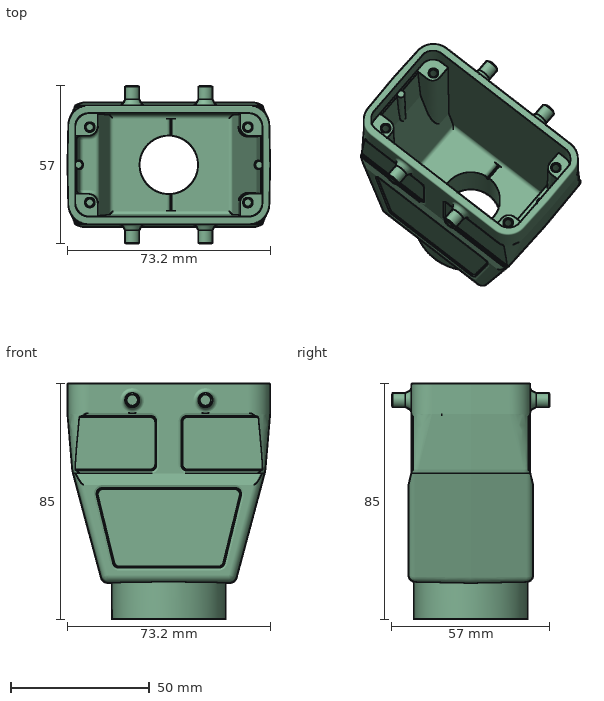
import math

import cadquery as cq

TOTAL_HEIGHT = 85.0
BAND_BOTTOM_Z = 74.0
END_BLEND_HEIGHT = 1.4
SHOULDER_TOP_Z = 52.6
SHOULDER_BOTTOM_Z = 48.4
BODY_BOTTOM_Z = 13.0
FLOOR_Z = 19.0
LEDGE_Z = 53.0
POST_TOP_Z = 75.5
PIN_Z = 79.0

BAND_HALF_X = 36.6
BAND_HALF_Y = 21.5
BODY_HALF_Y = 22.5
SHOULDER_HALF_X = 34.6
SIDE_SLOPE = 0.2686
END_BLEND_SLOPE = 0.2
PARTING_DRAFT_ANGLE = 1.2
PARTING_DRAFT = math.tan(math.radians(PARTING_DRAFT_ANGLE))
BAND_CORNER_R = 7.5
BODY_CORNER_R = 2.5
RIM_EDGE_R = 0.5
BODY_FOOT_R = 2.8

NECK_R = 20.6
CABLE_HOLE_R = 10.5

CAVITY_HALF_X = 33.8
CAVITY_HALF_Y = 18.7
CAVITY_CORNER_R = 5.0
CAVITY_DRAFT_ANGLE = 0.65
CAVITY_STEP_TOP_Z = 75.5
CAVITY_STEP_TOP_X = 33.7
CAVITY_STEP_FOOT_Z = 74.3
CAVITY_STEP_FOOT_X = 33.2
PLUS_END_FOOT_X = 31.7
MINUS_END_FOOT_X = 32.0
LEDGE_EDGE_X = 25.2
LEDGE_FLOOR_X = 21.2
CAVITY_EDGE_R = 1.4
POST_FOOT_R = 1.2

GROOVE_X = 0.78
GROOVE_WIDTH = 0.6
GROOVE_DEPTH = 2.0
GROOVE_LIP_R = 1.2

POST_INNER_X = 25.7
POST_INNER_Y = 10.5
POST_CORNER_R = 3.2
POST_DRAFT_ANGLE = 0.8
SCREW_X = 28.5
SCREW_HALF_PITCH_Y = 13.6
SCREW_HOLE_R = 1.4
SCREW_HOLE_DEPTH = 10.0
SCREW_CHAMFER = 0.4
RIB_X = 32.6
RIB_R = 1.4

PIN_HALF_PITCH = 13.2
PIN_R = 2.6
PIN_TIP_HALF_Y = 28.5
PIN_TIP_CHAMFER = 0.6
PIN_TIP_CHAMFER_LENGTH = 0.4
PIN_BOSS_R = 4.8
PIN_COLLAR_R = 3.2
PIN_COLLAR_HEIGHT = 0.9
PIN_FLARE_SAG = 0.3
PIN_NECK_LENGTH = 1.2

RECESS_DEPTH = 0.8
RECESS_WALL_HEIGHT = 0.5
RECESS_WALL_ANGLE = 45.0
RECESS_LIP_ANGLE = 72.5
RECESS_CORNER_R = 1.8
UPPER_RECESS_INNER_X = 4.95
UPPER_RECESS_OUTER_X = 45.0
UPPER_RECESS_TOP_Z = 72.9
UPPER_RECESS_BOTTOM_Z = 54.0
LOWER_RECESS_TOP_Z = 46.9
LOWER_RECESS_BOTTOM_Z = 19.0
LOWER_RECESS_TOP_HALF_X = 26.1
LOWER_RECESS_BOTTOM_HALF_X = 19.3


def in_four_corners(solid):
    pair = solid.union(solid.mirror("YZ"))
    return pair.union(pair.mirror("XZ"))


def side_half_x(z):
    """Half width of the tapered body below the shoulder."""
    return SHOULDER_HALF_X - SIDE_SLOPE * (SHOULDER_TOP_Z - z)


def collar_section(z, half_x, half_y, corner_r):
    """Closed wire at height z: a rounded rectangle whose end walls peak at Y = 0."""
    straight_y = half_y - corner_r
    end_x = half_x - PARTING_DRAFT * straight_y
    straight_x = end_x - corner_r
    mid = corner_r * math.sqrt(0.5)
    return (
        cq.Workplane("XY", origin=(0, 0, z))
        .moveTo(half_x, 0)
        .lineTo(end_x, straight_y)
        .threePointArc((straight_x + mid, straight_y + mid), (straight_x, half_y))
        .lineTo(-straight_x, half_y)
        .threePointArc((-straight_x - mid, straight_y + mid), (-end_x, straight_y))
        .lineTo(-half_x, 0)
        .lineTo(-end_x, -straight_y)
        .threePointArc((-straight_x - mid, -straight_y - mid), (-straight_x, -half_y))
        .lineTo(straight_x, -half_y)
        .threePointArc((straight_x + mid, -straight_y - mid), (end_x, -straight_y))
        .close()
        .val()
    )


def make_collar():
    """Upper part of the hood: the rim band and the drafted length down to the shoulder."""
    blend_top_z = SHOULDER_TOP_Z + END_BLEND_HEIGHT
    blend_half_x = SHOULDER_HALF_X + END_BLEND_SLOPE * END_BLEND_HEIGHT
    sections = [
        (SHOULDER_TOP_Z, SHOULDER_HALF_X, BAND_HALF_Y, BODY_CORNER_R),
        (blend_top_z, blend_half_x, BAND_HALF_Y, BODY_CORNER_R),
        (BAND_BOTTOM_Z, BAND_HALF_X, BAND_HALF_Y, BAND_CORNER_R),
        (TOTAL_HEIGHT, BAND_HALF_X, BAND_HALF_Y, BAND_CORNER_R),
    ]
    wires = [collar_section(*section) for section in sections]
    collar = cq.Workplane(cq.Solid.makeLoft(wires, True))
    return collar.faces(">Z").edges().fillet(RIM_EDGE_R)


def make_body():
    """Lower part of the hood: a trapezoid drafted from Y = 0 with sloped shoulders."""
    blank_top_z = BAND_BOTTOM_Z
    foot_half_x = side_half_x(BODY_BOTTOM_Z)
    top_half_x = side_half_x(blank_top_z)
    outline = (
        cq.Sketch()
        .polygon(
            [
                (-foot_half_x, BODY_BOTTOM_Z),
                (foot_half_x, BODY_BOTTOM_Z),
                (top_half_x, blank_top_z),
                (-top_half_x, blank_top_z),
                (-foot_half_x, BODY_BOTTOM_Z),
            ]
        )
        .vertices("<Y")
        .fillet(BODY_FOOT_R)
    )
    half = cq.Workplane("XZ").placeSketch(outline).extrude(BODY_HALF_Y, taper=PARTING_DRAFT_ANGLE)
    shoulder_profile = [
        (0, BODY_BOTTOM_Z),
        (-BODY_HALF_Y, BODY_BOTTOM_Z),
        (-BODY_HALF_Y, SHOULDER_BOTTOM_Z),
        (-BAND_HALF_Y, SHOULDER_TOP_Z),
        (0, SHOULDER_TOP_Z),
    ]
    envelope = cq.Workplane("YZ").polyline(shoulder_profile).close().extrude(BAND_HALF_X, both=True)
    half = half.intersect(envelope)
    half = half.faces("<Y").edges("not(>Z)").fillet(BODY_CORNER_R)
    return half.union(half.mirror("XZ"))


def drafted_recess(floor_outline, floor_y):
    """Cutter for the -Y face: a steep wall rising from the recess floor, then a wide lip."""
    wall = (
        cq.Workplane("XZ", origin=(0, floor_y, 0))
        .placeSketch(floor_outline)
        .extrude(RECESS_WALL_HEIGHT, taper=-RECESS_WALL_ANGLE)
    )
    lip = wall.faces("<Y").wires().toPending().workplane().extrude(RECESS_DEPTH, taper=-RECESS_LIP_ANGLE)
    return wall.union(lip)


def rounded_outline(points):
    closed = points + points[:1]
    return cq.Sketch().polygon(closed).vertices().fillet(RECESS_CORNER_R)


def make_collar_recesses():
    """Four recesses, two on each broad face of the collar, that run out at its ends."""
    outline = rounded_outline(
        [
            (UPPER_RECESS_INNER_X, UPPER_RECESS_BOTTOM_Z),
            (UPPER_RECESS_OUTER_X, UPPER_RECESS_BOTTOM_Z),
            (UPPER_RECESS_OUTER_X, UPPER_RECESS_TOP_Z),
            (UPPER_RECESS_INNER_X, UPPER_RECESS_TOP_Z),
        ]
    )
    return in_four_corners(drafted_recess(outline, RECESS_DEPTH - BAND_HALF_Y))


def make_body_recesses():
    """One trapezoid recess on each broad face of the body."""
    outline = rounded_outline(
        [
            (-LOWER_RECESS_BOTTOM_HALF_X, LOWER_RECESS_BOTTOM_Z),
            (LOWER_RECESS_BOTTOM_HALF_X, LOWER_RECESS_BOTTOM_Z),
            (LOWER_RECESS_TOP_HALF_X, LOWER_RECESS_TOP_Z),
            (-LOWER_RECESS_TOP_HALF_X, LOWER_RECESS_TOP_Z),
        ]
    )
    recess = drafted_recess(outline, RECESS_DEPTH - BODY_HALF_Y)
    return recess.union(recess.mirror("XZ"))


def make_pin():
    """One locking pin pointing to -Y, on a boss that flares into the broad face."""
    tip_r = PIN_R - PIN_TIP_CHAMFER
    collar_y = BAND_HALF_Y + PIN_COLLAR_HEIGHT
    flare_mid_r = PIN_COLLAR_R + PIN_FLARE_SAG * (PIN_BOSS_R - PIN_COLLAR_R)
    flare_mid_y = BAND_HALF_Y + PIN_FLARE_SAG * PIN_COLLAR_HEIGHT
    root_y = (CAVITY_HALF_Y + BAND_HALF_Y) / 2
    profile = (
        cq.Workplane("XY")
        .moveTo(0, -root_y)
        .lineTo(PIN_BOSS_R, -root_y)
        .lineTo(PIN_BOSS_R, -BAND_HALF_Y)
        .threePointArc((flare_mid_r, -flare_mid_y), (PIN_COLLAR_R, -collar_y))
        .lineTo(PIN_R, -collar_y - PIN_NECK_LENGTH)
        .lineTo(PIN_R, -PIN_TIP_HALF_Y + PIN_TIP_CHAMFER_LENGTH)
        .lineTo(tip_r, -PIN_TIP_HALF_Y)
        .lineTo(0, -PIN_TIP_HALF_Y)
        .close()
    )
    pin = profile.revolve(360, (0, 0, 0), (0, 1, 0))
    return pin.translate((0, 0, PIN_Z))


def make_pins():
    pin = make_pin()
    pair = pin.translate((-PIN_HALF_PITCH, 0, 0)).union(pin.translate((PIN_HALF_PITCH, 0, 0)))
    return pair.union(pair.mirror("XZ"))


def make_cavity():
    """Hollow of the hood: sloped at the +X end, stepped with a ledge at the -X end."""
    depth = TOTAL_HEIGHT - FLOOR_Z
    mouth_outline = (
        cq.Sketch().rect(2 * CAVITY_HALF_X, 2 * CAVITY_HALF_Y).vertices().fillet(CAVITY_CORNER_R)
    )
    mouth = (
        cq.Workplane("XY", origin=(0, 0, TOTAL_HEIGHT))
        .placeSketch(mouth_outline)
        .extrude(-depth, taper=CAVITY_DRAFT_ANGLE)
    )
    plus_floor_x = PLUS_END_FOOT_X - SIDE_SLOPE * (SHOULDER_TOP_Z - FLOOR_Z)
    wall_profile = [
        (CAVITY_HALF_X, TOTAL_HEIGHT),
        (CAVITY_STEP_TOP_X, CAVITY_STEP_TOP_Z),
        (CAVITY_STEP_FOOT_X, CAVITY_STEP_FOOT_Z),
        (PLUS_END_FOOT_X, SHOULDER_TOP_Z),
        (plus_floor_x, FLOOR_Z),
        (-LEDGE_FLOOR_X, FLOOR_Z),
        (-LEDGE_EDGE_X, LEDGE_Z),
        (-MINUS_END_FOOT_X, LEDGE_Z),
        (-CAVITY_STEP_FOOT_X, CAVITY_STEP_FOOT_Z),
        (-CAVITY_STEP_TOP_X, CAVITY_STEP_TOP_Z),
        (-CAVITY_HALF_X, TOTAL_HEIGHT),
    ]
    ends = cq.Workplane("XZ").polyline(wall_profile).close().extrude(CAVITY_HALF_Y, both=True)
    ledge_edge = cq.selectors.NearestToPointSelector((-LEDGE_EDGE_X, 0, LEDGE_Z))
    ends = ends.edges(ledge_edge).fillet(CAVITY_EDGE_R)
    ledge_foot = cq.selectors.NearestToPointSelector((-MINUS_END_FOOT_X, 0, LEDGE_Z))
    ends = ends.edges(ledge_foot).fillet(CAVITY_EDGE_R)
    cavity = mouth.intersect(ends)
    return cavity.faces("<Z").edges().fillet(CAVITY_EDGE_R)


def make_post():
    """Screw post in the +X +Y corner, growing wider towards the floor."""
    outer_x = BAND_HALF_X
    outer_y = BAND_HALF_Y
    size_x = outer_x - POST_INNER_X
    size_y = outer_y - POST_INNER_Y
    outline = (
        cq.Sketch()
        .push([((outer_x + POST_INNER_X) / 2, (outer_y + POST_INNER_Y) / 2)])
        .rect(size_x, size_y)
        .reset()
        .vertices("<X and <Y")
        .fillet(POST_CORNER_R)
    )
    return (
        cq.Workplane("XY", origin=(0, 0, POST_TOP_Z))
        .placeSketch(outline)
        .extrude(FLOOR_Z - POST_TOP_Z, taper=-POST_DRAFT_ANGLE)
    )


def make_screw_hole():
    mouth_r = SCREW_HOLE_R + SCREW_CHAMFER
    hole = (
        cq.Workplane("XZ")
        .polyline(
            [
                (0, POST_TOP_Z),
                (mouth_r, POST_TOP_Z),
                (SCREW_HOLE_R, POST_TOP_Z - SCREW_CHAMFER),
                (SCREW_HOLE_R, POST_TOP_Z - SCREW_HOLE_DEPTH),
                (0, POST_TOP_Z - SCREW_HOLE_DEPTH),
            ]
        )
        .close()
        .revolve(360, (0, 0, 0), (0, 1, 0))
    )
    return hole.translate((SCREW_X, SCREW_HALF_PITCH_Y, 0))


def make_rib():
    """Half-round rib in the middle of the +X end wall."""
    return (
        cq.Workplane("XY", origin=(0, 0, POST_TOP_Z))
        .circle(RIB_R)
        .extrude(FLOOR_Z - POST_TOP_Z, taper=-POST_DRAFT_ANGLE)
        .translate((RIB_X, 0, 0))
    )


def make_groove():
    """Narrow groove along Y in the cavity floor, with rounded lips."""
    half_width = GROOVE_WIDTH / 2
    lip_x = half_width + GROOVE_LIP_R
    lip_z = FLOOR_Z - GROOVE_LIP_R
    lip_mid = GROOVE_LIP_R * (1 - math.sqrt(0.5))
    depth = TOTAL_HEIGHT - FLOOR_Z
    half_length = CAVITY_HALF_Y - depth * math.tan(math.radians(CAVITY_DRAFT_ANGLE)) - CAVITY_EDGE_R
    return (
        cq.Workplane("XZ")
        .moveTo(-lip_x, FLOOR_Z)
        .threePointArc((-half_width - lip_mid, FLOOR_Z - lip_mid), (-half_width, lip_z))
        .lineTo(-half_width, FLOOR_Z - GROOVE_DEPTH)
        .lineTo(half_width, FLOOR_Z - GROOVE_DEPTH)
        .lineTo(half_width, lip_z)
        .threePointArc((half_width + lip_mid, FLOOR_Z - lip_mid), (lip_x, FLOOR_Z))
        .close()
        .extrude(half_length, both=True)
        .translate((GROOVE_X, 0, 0))
    )


def make_hollow():
    """Cavity with its posts, screw holes, ribs and floor groove."""
    rib = make_rib()
    hollow = (
        make_cavity()
        .cut(in_four_corners(make_post()))
        .cut(rib.union(rib.mirror("YZ")))
        .union(in_four_corners(make_screw_hole()))
        .union(make_groove())
    )
    ledge_x = CAVITY_EDGE_R - MINUS_END_FOOT_X
    for post_y in (-POST_INNER_Y, POST_INNER_Y):
        post_foot = cq.selectors.NearestToPointSelector((ledge_x, post_y, LEDGE_Z))
        hollow = hollow.edges(post_foot).fillet(POST_FOOT_R)
    return hollow


neck = cq.Workplane("XY").circle(NECK_R).extrude(FLOOR_Z)
cable_hole = cq.Workplane("XY").circle(CABLE_HOLE_R).extrude(TOTAL_HEIGHT)

result = (
    make_body()
    .cut(make_body_recesses())
    .union(make_collar().cut(make_collar_recesses()))
    .union(make_pins())
    .union(neck)
    .cut(make_hollow())
    .cut(cable_hole)
)